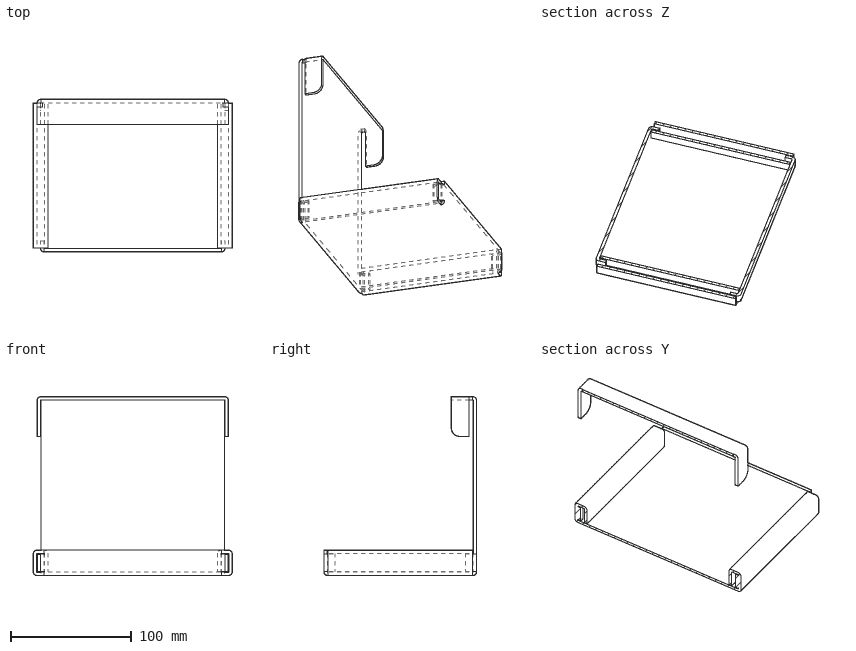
import cadquery as cq
import math


width = 164.8
depth = 126.4
height = 148.2

thickness = 3.0
inner_radius = 0.25
bend_radius = thickness + inner_radius

tray_height = 21.1
rim_flat = 6.0
tab_flat = 6.0

hook_depth = 21.1
hook_tab_width = 14.8
hook_tab_height = 33.1
hook_tab_corner = 7.4
relief_depth = 1.5

half_width = width / 2
front = -depth / 2
back = depth / 2
front_fold = front + bend_radius
back_fold = back - bend_radius
side_fold = half_width - bend_radius
back_edge = side_fold - bend_radius
rim_inner_fold = side_fold - rim_flat
front_edge = rim_inner_fold
wall_bottom = bend_radius
wall_top = tray_height - bend_radius
wall_flat = wall_top - wall_bottom
side_length = back_fold - front_fold
hook_fold = height - bend_radius
hook_front = back - hook_depth
hook_tab_back = hook_front + hook_tab_width


def plate(x_range, y_range, z_range):
    """Flat piece of sheet given by its extents."""
    x0, x1 = x_range
    y0, y1 = y_range
    z0, z1 = z_range
    return cq.Workplane("XY").box(x1 - x0, y1 - y0, z1 - z0, centered=False).translate((x0, y0, z0))


def fold(plane, axis_point, length, side_u, side_v):
    """Quarter-round fold about an axis normal to the plane; the sides (+1 or -1) pick the quadrant."""
    diagonal = math.sqrt(0.5)
    outer_mid = bend_radius * diagonal
    inner_mid = inner_radius * diagonal
    return (
        cq.Workplane(plane, origin=axis_point)
        .moveTo(side_u * inner_radius, 0)
        .lineTo(side_u * bend_radius, 0)
        .threePointArc((side_u * outer_mid, side_v * outer_mid), (0, side_v * bend_radius))
        .lineTo(0, side_v * inner_radius)
        .threePointArc((side_u * inner_mid, side_v * inner_mid), (side_u * inner_radius, 0))
        .close()
        .extrude(length)
    )


def floor_sheet():
    return plate((-side_fold, side_fold), (front_fold, back_fold), (0, thickness))


def side_rim():
    """Right side: folded up from the floor, in over the top and back down to the floor."""
    along = (front_fold, back_fold)
    inner_face = rim_inner_fold - bend_radius
    outer_wall = plate((half_width - thickness, half_width), along, (wall_bottom, wall_top))
    top = plate((rim_inner_fold, side_fold), along, (tray_height - thickness, tray_height))
    inner_wall = plate((inner_face, inner_face + thickness), along, (wall_bottom, wall_top))
    bottom_fold = fold("XZ", (side_fold, back_fold, wall_bottom), side_length, 1, -1)
    outer_fold = fold("XZ", (side_fold, back_fold, wall_top), side_length, 1, 1)
    inner_fold = fold("XZ", (rim_inner_fold, back_fold, wall_top), side_length, -1, 1)
    return [outer_wall, top, inner_wall, bottom_fold, outer_fold, inner_fold]


def front_wall():
    wall = plate((-front_edge, front_edge), (front, front + thickness), (wall_bottom, tray_height))
    bottom_fold = fold("YZ", (-front_edge, front_fold, wall_bottom), 2 * front_edge, -1, -1)
    return [wall, bottom_fold]


def back_plate():
    wall = plate((-back_edge, back_edge), (back - thickness, back), (wall_bottom, hook_fold))
    bottom_fold = fold("YZ", (-back_edge, back_fold, wall_bottom), 2 * back_edge, 1, -1)
    return [wall, bottom_fold]


def corner_tab(wall_edge, wall_fold, side_y):
    """Right-hand tab turned from the end of a wall into the side rim; side_y is -1 front, +1 back."""
    outer_face = wall_edge + bend_radius
    tab_end = wall_fold - side_y * tab_flat
    along = (min(wall_fold, tab_end), max(wall_fold, tab_end))
    tab = plate((outer_face - thickness, outer_face), along, (wall_bottom, wall_top))
    corner_fold = fold("XY", (wall_edge, wall_fold, wall_bottom), wall_flat, 1, side_y)
    return [tab, corner_fold]


def hook_plate():
    """Plate folded forward from the top of the back plate, notched beside its side tabs."""
    relieved_edge = back_edge - relief_depth
    top_z = (height - thickness, height)
    top = plate((-back_edge, back_edge), (hook_front, hook_tab_back), top_z)
    neck = plate((-relieved_edge, relieved_edge), (hook_tab_back, back_fold), top_z)
    back_bend = fold("YZ", (-back_edge, back_fold, hook_fold), 2 * back_edge, 1, 1)
    return [top, neck, back_bend]


def hook_tab():
    """Right-hand tab folded down from the hook plate, with a rounded lower front corner."""
    outer_face = back_edge + bend_radius
    tab = plate(
        (outer_face - thickness, outer_face),
        (hook_front, hook_tab_back),
        (height - hook_tab_height, hook_fold),
    )
    tab = tab.edges("|X and <Y and <Z").fillet(hook_tab_corner)
    top_fold = fold("XZ", (back_edge, hook_tab_back, hook_fold), hook_tab_width, 1, 1)
    return [tab, top_fold]


right_side_pieces = (
    side_rim()
    + corner_tab(front_edge, front_fold, -1)
    + corner_tab(back_edge, back_fold, 1)
    + hook_tab()
)

result = floor_sheet()
for piece in front_wall() + back_plate() + hook_plate():
    result = result.union(piece)
for piece in right_side_pieces:
    result = result.union(piece).union(piece.mirror("YZ"))